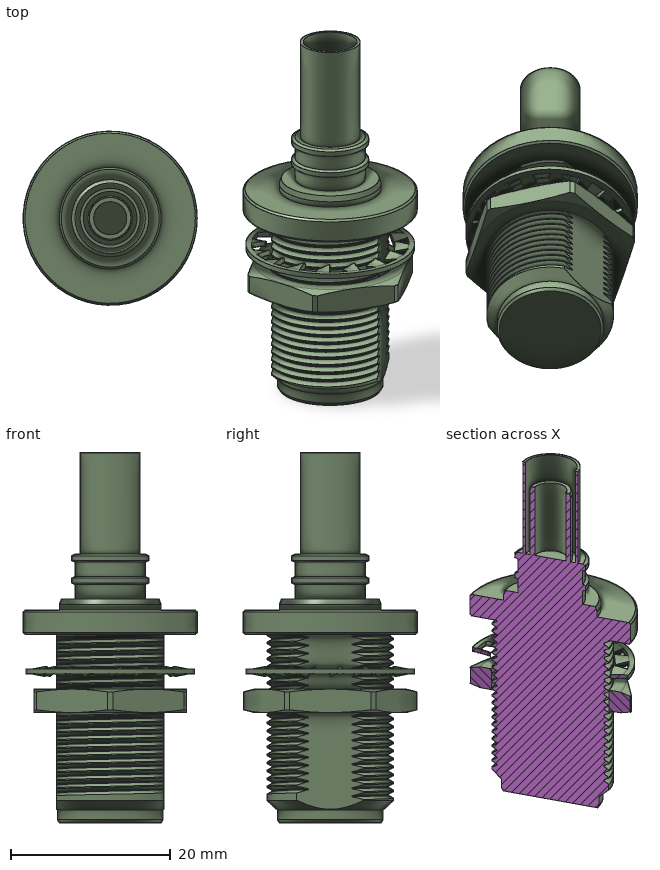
import cadquery as cq
import math

total_height = 46.3
lip_height = 1.6
cone_top = 2.8
flange_bottom = 23.55
flange_top = 26.6
shoulder_top = 28.0
collar_top = 33.6

lip_radius = 6.63
thread_radius = 7.93
flange_radius = 10.9
shoulder_radius = 6.37
collar_radius = 4.4
ring_radius = 4.83
tube_radius = 3.75

lip_chamfer_radial = 0.25
lip_chamfer_axial = 0.4
flange_chamfer = 0.25
shoulder_chamfer_radial = 0.25
shoulder_chamfer_axial = 0.7

ring_height = 1.0
ring_flank_height = 0.2
lower_ring_bottom = 29.8
ring_bottoms = (lower_ring_bottom, collar_top - ring_height)

tube_bore_radius = 3.35
sleeve_radius = 2.77
sleeve_bore_radius = 2.07
sleeve_tip_chamfer_radial = 0.17
sleeve_tip_chamfer_axial = 0.5
sleeve_recess = 3.25
sleeve_top = total_height - sleeve_recess
bore_bottom = collar_top

thread_pitch = 1.0
thread_root_radius = 7.27
thread_root_width = 0.1
thread_angle = 60
thread_start_gap = 0.45
thread_start = cone_top + thread_start_gap
flat_distance = 6.73

nut_bottom = 13.78
nut_height = 2.95
nut_across_flats = 19.1
nut_corner_radius = 10.84
nut_chamfer_circle_radius = 9.5
nut_chamfer_angle = 15

washer_bottom = 18.62
washer_thickness = 0.62
washer_radius = 10.57
washer_rim_radius = 9.87
tooth_count = 16
tooth_tip_radius = 8.1
tooth_width = 1.7
tooth_twist = 25
tooth_first_angle = 4.8


def cylinder(radius, bottom, top):
    return cq.Workplane("XY").workplane(offset=bottom).circle(radius).extrude(top - bottom)


def revolve_outline(points):
    return cq.Workplane("XZ").polyline(points).close().revolve(360, (0, 0, 0), (0, 1, 0))


def thread_groove():
    """Helical V groove with a narrow flat root that leaves the thread ridge standing between its turns."""
    overcut = 0.1
    mouth_radius = thread_radius + overcut
    half_root = thread_root_width / 2
    flank_rise = (mouth_radius - thread_root_radius) * math.tan(math.radians(thread_angle / 2))
    half_mouth = half_root + flank_rise
    groove_length = flange_bottom - thread_start
    start_point = cq.Vector(0, 0, thread_start)
    helix = cq.Wire.makeHelix(thread_pitch, groove_length, thread_root_radius, start_point)
    profile = [
        (thread_root_radius, thread_start + half_root),
        (thread_root_radius, thread_start - half_root),
        (mouth_radius, thread_start - half_mouth),
        (mouth_radius, thread_start + half_mouth),
    ]
    return cq.Workplane("XZ").polyline(profile).close().sweep(cq.Workplane(obj=helix), isFrenet=True)


def threaded_barrel():
    barrel = revolve_outline([
        (0, 0),
        (lip_radius - lip_chamfer_radial, 0),
        (lip_radius, lip_chamfer_axial),
        (lip_radius, lip_height),
        (thread_radius, cone_top),
        (thread_radius, flange_top),
        (0, flange_top),
    ])
    flats = cq.Workplane("XY").rect(2 * flat_distance, 4 * thread_radius).extrude(flange_top)
    return barrel.cut(thread_groove()).intersect(flats)


def flange():
    return cylinder(flange_radius, flange_bottom, flange_top).edges().chamfer(flange_chamfer)


def shoulder():
    return revolve_outline([
        (0, flange_top),
        (shoulder_radius, flange_top),
        (shoulder_radius, shoulder_top - shoulder_chamfer_axial),
        (shoulder_radius - shoulder_chamfer_radial, shoulder_top),
        (0, shoulder_top),
    ])


def collar_ring(bottom):
    """Raised ring whose conical flanks run down to the collar."""
    top = bottom + ring_height
    return revolve_outline([
        (0, bottom),
        (collar_radius, bottom),
        (ring_radius, bottom + ring_flank_height),
        (ring_radius, top - ring_flank_height),
        (collar_radius, top),
        (0, top),
    ])


def collar():
    body = cylinder(collar_radius, shoulder_top, collar_top)
    for bottom in ring_bottoms:
        body = body.union(collar_ring(bottom))
    return body


def crimp_tube():
    tube = cylinder(tube_radius, collar_top, total_height)
    return tube.cut(cylinder(tube_bore_radius, bore_bottom, total_height))


def inner_sleeve():
    return revolve_outline([
        (sleeve_bore_radius, bore_bottom),
        (sleeve_radius, bore_bottom),
        (sleeve_radius, sleeve_top - sleeve_tip_chamfer_axial),
        (sleeve_radius - sleeve_tip_chamfer_radial, sleeve_top),
        (sleeve_bore_radius, sleeve_top),
    ])


def connector():
    body = threaded_barrel()
    for piece in (flange(), shoulder(), collar(), crimp_tube(), inner_sleeve()):
        body = body.union(piece)
    return body


def hex_nut():
    hexagon = cq.Workplane("XY").workplane(offset=nut_bottom)
    blank = hexagon.polygon(6, nut_across_flats, circumscribed=True).extrude(nut_height)
    nut_top = nut_bottom + nut_height
    drop = (nut_corner_radius - nut_chamfer_circle_radius) * math.tan(math.radians(nut_chamfer_angle))
    envelope = revolve_outline([
        (0, nut_bottom),
        (nut_chamfer_circle_radius, nut_bottom),
        (nut_corner_radius, nut_bottom + drop),
        (nut_corner_radius, nut_top - drop),
        (nut_chamfer_circle_radius, nut_top),
        (0, nut_top),
    ])
    return blank.intersect(envelope).cut(cylinder(thread_radius, nut_bottom, nut_top))


def washer_tooth(angle):
    """Tooth that reaches inward from the rim and twists about its own radial axis."""
    root_radius = math.sqrt(washer_rim_radius**2 - (tooth_width / 2)**2)
    rim_middle = (washer_radius + washer_rim_radius) / 2
    root_plane = cq.Workplane("YZ").workplane(offset=root_radius)
    stub_outline = cq.Workplane(root_plane.plane).rect(tooth_width, washer_thickness)
    stub = stub_outline.extrude(rim_middle - root_radius)
    blade = (
        root_plane.rect(tooth_width, washer_thickness)
        .workplane(offset=tooth_tip_radius - root_radius)
        .transformed(rotate=(0, 0, tooth_twist))
        .rect(tooth_width, washer_thickness)
        .loft(ruled=True, combine=False)
    )
    tooth = stub.union(blade).translate((0, 0, washer_bottom + washer_thickness / 2))
    return tooth.rotate((0, 0, 0), (0, 0, 1), angle)


def lock_washer():
    top = washer_bottom + washer_thickness
    rim = cylinder(washer_radius, washer_bottom, top)
    washer = rim.cut(cylinder(washer_rim_radius, washer_bottom, top))
    for index in range(tooth_count):
        washer = washer.union(washer_tooth(tooth_first_angle + index * 360 / tooth_count))
    return washer


result = cq.Compound.makeCompound([connector().val(), hex_nut().val(), lock_washer().val()])